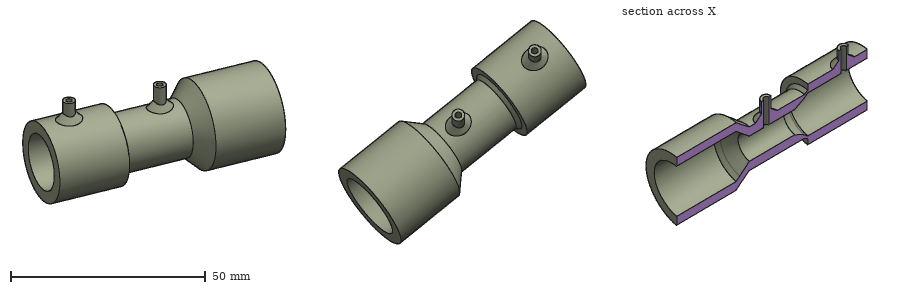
import cadquery as cq
import math

total_length = 64.0
socket_length = 20.0
front_shoulder_end = 21.1
neck_end = 39.6
rear_shoulder_end = total_length - socket_length

front_radius = 11.0
front_shoulder_radius = 8.9
neck_radius = 8.0
rear_radius = 12.32

neck_bore_radius = 4.5
front_mouth_radius = 7.7
seat_step = 1.2
front_seat_radius = front_mouth_radius - seat_step
rear_mouth_radius = front_mouth_radius + rear_radius - front_radius
rear_seat_radius = rear_mouth_radius - seat_step
front_seat_end = socket_length + seat_step
rear_seat_end = rear_shoulder_end - seat_step
throat_length = 3.2

port_radius = 1.65
port_hole_radius = 0.8
skirt_ball_radius = 2.0
front_port_y = 7.95
front_port_top = 16.5
neck_port_y = 33.9
neck_port_top = 14.5


def revolve_about_y(points):
    """Revolve a closed (radius, y) outline about the part axis."""
    return cq.Workplane("XY").polyline(points).close().revolve(360, (0, 0, 0), (0, 1, 0))


def port_cylinder(radius, y, top):
    """Vertical cylinder from the part axis up to the top of a port."""
    return cq.Workplane("XY").center(0, y).circle(radius).extrude(top)


def port_skirt(y, tube_radius):
    """Flared skirt whose edges lie where a ball touching both port and tube would rest."""
    ball_offset = port_radius + skirt_ball_radius
    peak_z = tube_radius + skirt_ball_radius

    flank_top_z = math.sqrt(peak_z**2 - ball_offset**2)
    foot_x = ball_offset * tube_radius / peak_z
    foot_z = flank_top_z * tube_radius / peak_z
    flank_slope = (foot_x - port_radius) / (flank_top_z - foot_z)

    foot_y = port_radius + peak_z - foot_z
    peak_x = port_radius - flank_slope * (peak_z - flank_top_z)
    return (
        cq.Workplane("XY", origin=(0, y, foot_z))
        .ellipse(foot_x, foot_y)
        .workplane(offset=peak_z - foot_z)
        .ellipse(peak_x, port_radius)
        .loft(ruled=True)
    )


def add_port(tube, y, top, tube_radius):
    """Join a port and its skirt to the tube."""
    return tube.union(port_cylinder(port_radius, y, top)).union(port_skirt(y, tube_radius))


body = revolve_about_y([
    (0, 0),
    (front_radius, 0),
    (front_radius, socket_length),
    (front_shoulder_radius, socket_length),
    (neck_radius, front_shoulder_end),
    (neck_radius, neck_end),
    (rear_radius, rear_shoulder_end),
    (rear_radius, total_length),
    (0, total_length),
])

body = add_port(body, front_port_y, front_port_top, front_radius)
body = add_port(body, neck_port_y, neck_port_top, neck_radius)

bore = revolve_about_y([
    (0, 0),
    (front_mouth_radius, 0),
    (front_mouth_radius, socket_length),
    (front_seat_radius, front_seat_end),
    (neck_bore_radius, front_seat_end + throat_length),
    (neck_bore_radius, rear_seat_end - throat_length),
    (rear_seat_radius, rear_seat_end),
    (rear_mouth_radius, rear_shoulder_end),
    (rear_mouth_radius, total_length),
    (0, total_length),
])

result = (
    body.cut(bore)
    .cut(port_cylinder(port_hole_radius, front_port_y, front_port_top))
    .cut(port_cylinder(port_hole_radius, neck_port_y, neck_port_top))
)